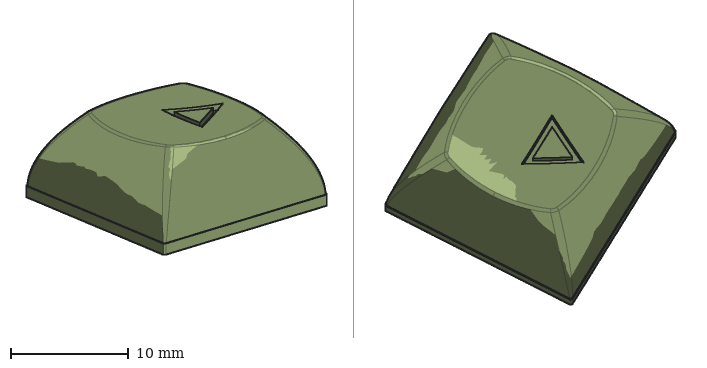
import cadquery as cq
import math

width = 18.2
height = 7.9
skirt_height = 1.02
skirt_corner_radius = 0.18

ledge = 0.07
loft_top = 8.19
level_count = 6
middle_inset = 3.05
corner_inset = 4.0
middle_power = 2.2
corner_power = 1.9
lowest_bulge = 0.01
wall_corner_radius = 0.18
top_corner_radius = 0.82

dish_radius = 43.68
dish_bottom = 7.28
rim_fillet = 0.4

triangle_side = 5.25
triangle_base_y = 0.62
triangle_line = 0.55
engraving_depth = 0.55


def wall_section(fraction):
    """Rounded square with bowed sides, at a fraction of the wall height."""
    half_base = width / 2 - ledge
    middle = half_base + lowest_bulge - middle_inset * fraction**middle_power
    corner = half_base - corner_inset * fraction**corner_power
    radius = wall_corner_radius + (top_corner_radius - wall_corner_radius) * fraction
    z = skirt_height + (loft_top - skirt_height) * fraction
    outline = (
        cq.Workplane("XY", origin=(0, 0, z))
        .moveTo(-corner, -corner)
        .threePointArc((0, -middle), (corner, -corner))
        .threePointArc((middle, 0), (corner, corner))
        .threePointArc((0, middle), (-corner, corner))
        .threePointArc((-middle, 0), (-corner, -corner))
        .close()
        .val()
    )
    return outline.fillet2D(radius, outline.Vertices())


def dish_ball(bottom):
    """Ball whose lowest point is at the given height."""
    return cq.Workplane("XY", origin=(0, 0, bottom + dish_radius)).sphere(dish_radius)


def triangle_prism(side, base_y):
    """Upright equilateral triangle, tall enough to cross the whole cap."""
    apex_y = base_y + side * math.sqrt(3) / 2
    corners = [(-side / 2, base_y), (side / 2, base_y), (0, apex_y)]
    return cq.Workplane("XY").polyline(corners).close().extrude(height)


skirt = cq.Workplane("XY").rect(width, width).extrude(skirt_height)
skirt = skirt.edges("|Z").fillet(skirt_corner_radius)
sections = [wall_section(level / (level_count - 1)) for level in range(level_count)]
walls = cq.Workplane(cq.Solid.makeLoft(sections))

walls = walls.cut(dish_ball(dish_bottom))
walls = walls.faces("%SPHERE").edges().fillet(rim_fillet)
body = skirt.union(walls)

inner_side = triangle_side - 2 * math.sqrt(3) * triangle_line
outer_triangle = triangle_prism(triangle_side, triangle_base_y)
inner_triangle = triangle_prism(inner_side, triangle_base_y + triangle_line)
groove = outer_triangle.cut(inner_triangle).intersect(dish_ball(dish_bottom - engraving_depth))

result = body.cut(groove)